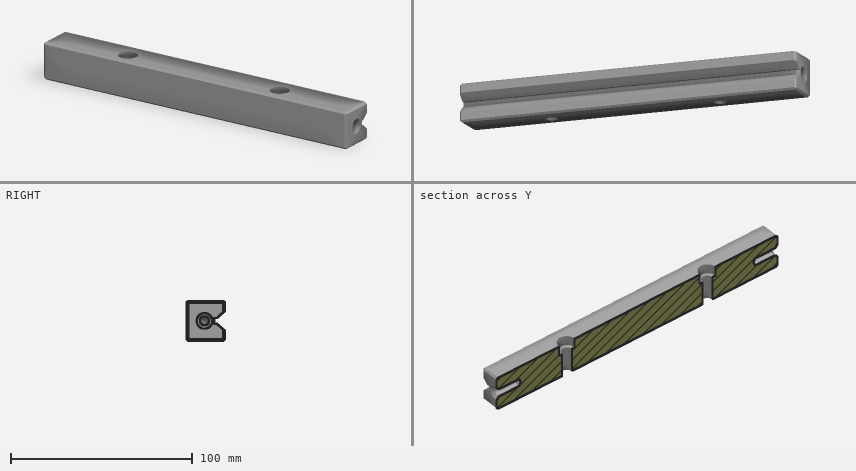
import cadquery as cq

LENGTH = 200.0
WIDTH = 21.5
HEIGHT = 22.0
EDGE_CHAMFER = 1.12

GROOVE_OPENING = 11.2
RELIEF_WIDTH = 3.0
RELIEF_DEPTH = 6.0
VEE_DEPTH = 4.5

MOUNT_HOLE_Y = 9.0
MOUNT_HOLE_X = (LENGTH / 4, LENGTH * 3 / 4)
MOUNT_HOLE_DIAMETER = 6.8
COUNTERBORE_DIAMETER = 11.0
COUNTERBORE_DEPTH = 6.2

END_HOLE_Y = 10.0
END_HOLE_DIAMETER = 5.0
END_HOLE_DEPTH = 16.0
DRILL_POINT_DEPTH = 1.5
END_SINK_DIAMETER = 8.5
END_SINK_DEPTH = (END_SINK_DIAMETER - END_HOLE_DIAMETER) / 2


def make_bar():
    bar = cq.Workplane("XY").box(LENGTH, WIDTH, HEIGHT, centered=False)
    return bar.edges().chamfer(EDGE_CHAMFER)


def make_groove():
    mid_z = HEIGHT / 2
    half_opening = GROOVE_OPENING / 2
    half_relief = RELIEF_WIDTH / 2
    vee_root_y = WIDTH - VEE_DEPTH
    relief_y = WIDTH - RELIEF_DEPTH
    return (
        cq.Workplane("YZ")
        .moveTo(WIDTH, mid_z - half_opening)
        .lineTo(vee_root_y, mid_z - half_relief)
        .lineTo(relief_y, mid_z - half_relief)
        .lineTo(relief_y, mid_z + half_relief)
        .lineTo(vee_root_y, mid_z + half_relief)
        .lineTo(WIDTH, mid_z + half_opening)
        .close()
        .extrude(LENGTH)
    )


def cut_mounting_holes(bar):
    return (
        bar.faces(">Z")
        .workplane(origin=(0, 0, HEIGHT))
        .pushPoints([(x, MOUNT_HOLE_Y) for x in MOUNT_HOLE_X])
        .cboreHole(MOUNT_HOLE_DIAMETER, COUNTERBORE_DIAMETER, COUNTERBORE_DEPTH)
    )


def make_end_hole():
    """Countersunk blind hole entering the X = 0 end, revolved about its own axis."""
    hole_radius = END_HOLE_DIAMETER / 2
    profile = [
        (0, 0),
        (0, END_SINK_DIAMETER / 2),
        (END_SINK_DEPTH, hole_radius),
        (END_HOLE_DEPTH, hole_radius),
        (END_HOLE_DEPTH + DRILL_POINT_DEPTH, 0),
    ]
    hole = cq.Workplane("XY").polyline(profile).close().revolve(360, (0, 0), (1, 0))
    return hole.translate((0, END_HOLE_Y, HEIGHT / 2))


result = make_bar().cut(make_groove())
result = cut_mounting_holes(result)

end_hole = make_end_hole()
opposite_end_hole = end_hole.mirror("YZ", (LENGTH / 2, 0, 0))
result = result.cut(end_hole).cut(opposite_end_hole)